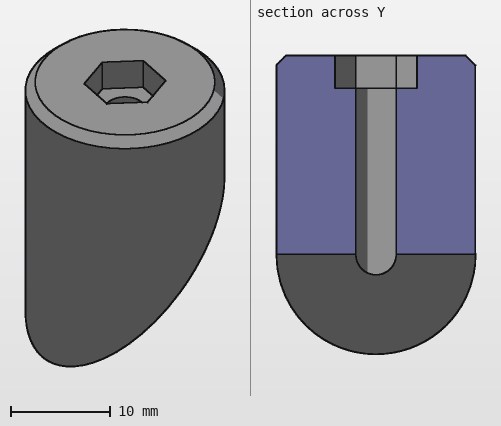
import cadquery as cq

height = 30.0
diameter = 20.0
rim_chamfer = 1.0
bore_diameter = 4.05
hex_across_corners = 8.2
hex_depth = 3.3

radius = diameter / 2


def chamfered_cylinder():
    """Upright round body with a chamfered top rim."""
    body = cq.Workplane("XY").circle(radius).extrude(height)
    return body.faces(">Z").chamfer(rim_chamfer)


def mitre_wedge():
    """Wedge under the 45 degree end cut, which rises from -Y to +Y."""
    profile = [(-radius, 0), (radius, 0), (radius, diameter)]
    return cq.Workplane("YZ").polyline(profile).close().extrude(radius, both=True)


def through_bore():
    """Axial screw hole running the full height."""
    return cq.Workplane("XY").circle(bore_diameter / 2).extrude(height)


def hex_pocket():
    """Hexagonal recess sunk into the top face, with two corners on the X axis."""
    top = cq.Workplane("XY").workplane(offset=height)
    return top.polygon(6, hex_across_corners).extrude(-hex_depth)


result = chamfered_cylinder().cut(mitre_wedge()).cut(through_bore()).cut(hex_pocket())